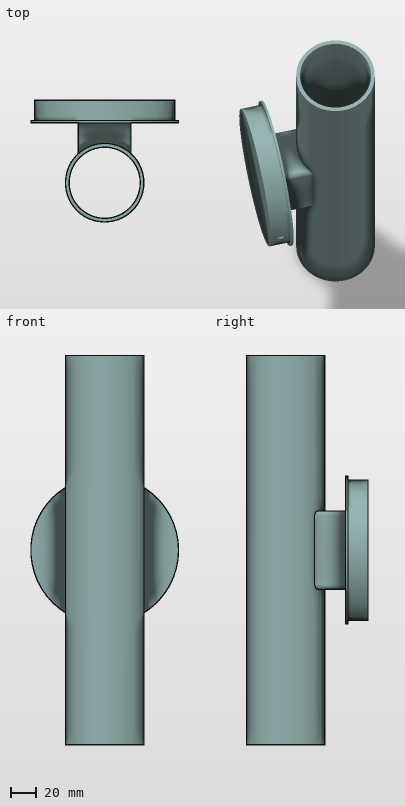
import cadquery as cq

tube_length = 300.0
tube_diameter = 60.5
tube_wall = 3.0
tube_radius = tube_diameter / 2

overall_depth = 94.0
flange_diameter = 114.0
flange_thickness = 1.8
disc_diameter = 108.3
disc_thickness = 15.5
disc_back_y = overall_depth - tube_radius
disc_front_y = disc_back_y - disc_thickness
flange_front_y = disc_front_y - flange_thickness

arm_width = 40.8
arm_height = 60.5
arm_edge_radius = 3.5

screw_hole_diameter = 5.0
screw_hole_depth = 3.0
screw_hole_y = disc_back_y - disc_thickness / 2


def cylinder_along_y(diameter, start_y, length):
    plane = cq.Workplane("XZ", origin=(0, start_y, 0))
    return plane.circle(diameter / 2).extrude(-length)


def make_mount():
    disc = cylinder_along_y(disc_diameter, disc_front_y, disc_thickness)
    flange = cylinder_along_y(flange_diameter, flange_front_y, flange_thickness)
    screw_hole = (
        cq.Workplane("YZ", origin=(-disc_diameter / 2, screw_hole_y, 0))
        .circle(screw_hole_diameter / 2)
        .extrude(screw_hole_depth)
    )
    return disc.cut(screw_hole).union(flange)


def make_arm():
    return (
        cq.Workplane("XZ")
        .rect(arm_width, arm_height)
        .extrude(-flange_front_y)
        .edges("|Y")
        .fillet(arm_edge_radius)
    )


def tube_cylinder(radius):
    return cq.Workplane("XY").circle(radius).extrude(tube_length / 2, both=True)


tube_bore = tube_cylinder(tube_radius - tube_wall)
result = tube_cylinder(tube_radius).union(make_arm()).union(make_mount()).cut(tube_bore)